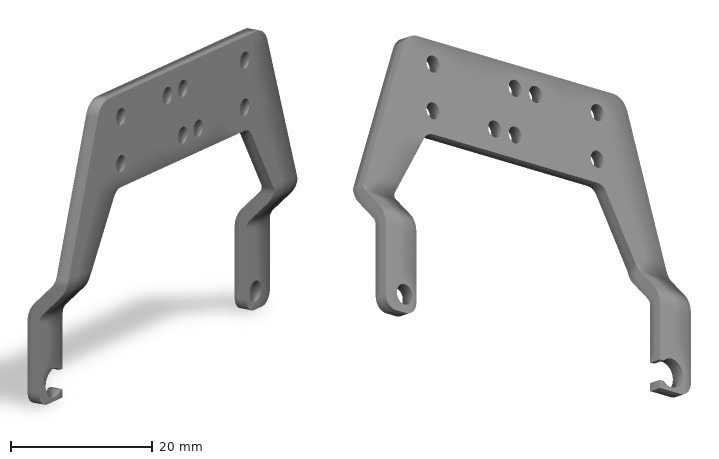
import cadquery as cq
import math

overall_depth = 6.8
overall_width = 59.5
overall_height = 44.0
thickness = 2.0
half_width = overall_width / 2

arm_width = 6.0
plate_height = 14.0
top_half_width = 21.2
lower_edge_half_width = 17.15
shoulder_z = 19.1
top_corner_radius = 3.0
inner_corner_radius = 2.0
shoulder_radius = 2.0
foot_corner_radius = 2.0
arm_inner_y = half_width - arm_width
plate_bottom_z = overall_height - plate_height

bend_angle = 45.0
bend_inner_radius = 2.0
bend_outer_radius = bend_inner_radius + thickness
lower_bend_z = 14.2

mount_diameter = 2.5
mount_edge_distance = 3.5
outer_mount_y = 16.0
extra_mount_y = 4.0

pivot_y = 26.0
pivot_z = 2.75
pivot_diameter = 3.05
snap_diameter = 4.3


def bent_sheet():
    """Sheet with an offset bend, spanning the whole width along Y."""
    offset = overall_depth - thickness
    upper_bend_z = lower_bend_z + offset / math.tan(math.radians(bend_angle))
    miter_drop = thickness * math.tan(math.radians(bend_angle / 2))
    lower_outer = (0, lower_bend_z)
    upper_inner = (offset, upper_bend_z)
    upper_outer = (overall_depth, upper_bend_z - miter_drop)
    lower_inner = (thickness, lower_bend_z - miter_drop)
    profile = [
        (0, 0),
        lower_outer,
        upper_inner,
        (offset, overall_height),
        (overall_depth, overall_height),
        upper_outer,
        lower_inner,
        (thickness, 0),
    ]
    sheet = cq.Workplane("XZ").polyline(profile).close().extrude(half_width, both=True)
    bends = [
        (lower_outer, bend_outer_radius),
        (upper_inner, bend_inner_radius),
        (upper_outer, bend_outer_radius),
        (lower_inner, bend_inner_radius),
    ]
    for (x, z), radius in bends:
        sheet = sheet.edges(cq.NearestToPointSelector((x, 0, z))).fillet(radius)
    return sheet


def outline_prism():
    """Bracket silhouette in the YZ plane, extruded through the full depth."""
    half_outline = [
        (arm_inner_y, 0),
        (half_width, 0),
        (half_width, shoulder_z),
        (top_half_width, overall_height),
    ]
    inner_outline = [
        (lower_edge_half_width, plate_bottom_z),
        (arm_inner_y, shoulder_z),
    ]
    right_side = inner_outline + half_outline
    left_side = [(-y, z) for y, z in reversed(right_side)]
    prism = cq.Workplane("YZ").polyline(right_side + left_side).close().extrude(overall_depth)

    rounded_corners = [
        (arm_inner_y, 0, foot_corner_radius),
        (half_width, 0, foot_corner_radius),
        (-half_width, 0, foot_corner_radius),
    ]
    for side in (-1, 1):
        rounded_corners.append((side * half_width, shoulder_z, shoulder_radius))
        rounded_corners.append((side * arm_inner_y, shoulder_z, shoulder_radius))
        rounded_corners.append((side * top_half_width, overall_height, top_corner_radius))
        rounded_corners.append((side * lower_edge_half_width, plate_bottom_z, inner_corner_radius))
    for y, z, radius in rounded_corners:
        corner = cq.NearestToPointSelector((overall_depth / 2, y, z))
        prism = prism.edges(corner).fillet(radius)
    return prism


def through_holes(points, diameter):
    return cq.Workplane("YZ").pushPoints(points).circle(diameter / 2).extrude(overall_depth)


def mounting_holes():
    upper_z = overall_height - mount_edge_distance
    lower_z = plate_bottom_z + mount_edge_distance
    upper_row = [(y, upper_z) for y in (-outer_mount_y, -extra_mount_y, 0, outer_mount_y)]
    lower_row = [(y, lower_z) for y in (-outer_mount_y, 0, extra_mount_y, outer_mount_y)]
    return through_holes(upper_row + lower_row, mount_diameter)


def snap_opening():
    """Round seat with a narrower mouth toward the middle of the bracket."""
    mouth_length = pivot_y - arm_inner_y
    mouth = (
        cq.Workplane("YZ")
        .center(-pivot_y + mouth_length / 2, pivot_z)
        .rect(mouth_length, pivot_diameter)
        .extrude(overall_depth)
    )
    return through_holes([(-pivot_y, pivot_z)], snap_diameter).union(mouth)


result = (
    bent_sheet()
    .intersect(outline_prism())
    .cut(mounting_holes())
    .cut(through_holes([(pivot_y, pivot_z)], pivot_diameter))
    .cut(snap_opening())
)